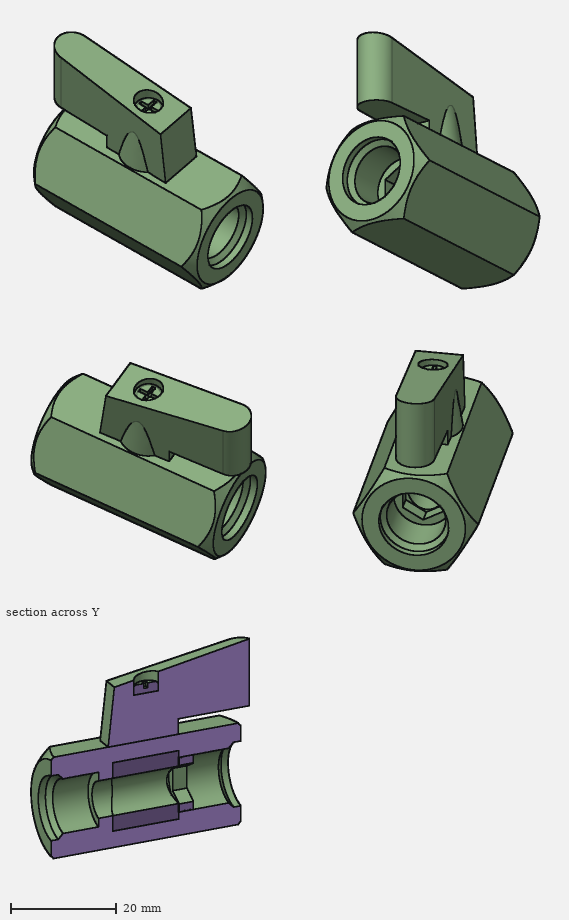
import cadquery as cq
import math

body_length = 40.0
body_flats = 21.0
body_right = 42.0
body_left = body_right - body_length
axis_z = body_flats / 2
body_top = body_flats
end_face_diameter = 20.0
end_cone_length = 2.5

mouth_diameter = 13.5
mouth_depth = 1.5
bore_diameter = 11.42
mouth_cone_length = (mouth_diameter - bore_diameter) / 2

bore_depth = 10.0
passage_diameter = 8.0

pivot_x = (body_left + body_right) / 2
plug_diameter = 14.0
plug_bottom = axis_z - plug_diameter / 2
plug_top = axis_z + plug_diameter / 2

insert_front = body_left + bore_depth
insert_back = pivot_x - plug_diameter / 2
insert_hex_flats = 8.0

handle_length = 30.0
handle_height = 38.0
handle_top_right_x = 28.7
handle_top_right_z = 33.1
grip_bottom = 24.05
foot_left = 15.1
grip_radius = 3.7
handle_end_width = 9.32
hub_diameter = 11.42
hub_height = 10.1
hub_slope = 9.2

screw_diameter = 5.6
screw_top = 32.75
screw_thickness = 2.0
screw_bottom = screw_top - screw_thickness
screw_edge_radius = 0.5
slot_length = 4.0
slot_width = 0.7
slot_depth = 1.0


def rod_along_x(diameter, x_start, x_end):
    """Round bar centred on the bore axis."""
    return (
        cq.Workplane("YZ", origin=(x_start, 0, axis_z))
        .circle(diameter / 2)
        .extrude(x_end - x_start)
    )


def cylinder_on_pivot(diameter, z_bottom, z_top):
    """Upright cylinder centred on the pivot axis."""
    return (
        cq.Workplane("XY", origin=(pivot_x, 0, z_bottom))
        .circle(diameter / 2)
        .extrude(z_top - z_bottom)
    )


def hex_bar(flats, x_start, x_end):
    """Hexagonal bar along the bore axis with corners pointing along Y."""
    corner_diameter = flats / math.cos(math.pi / 6)
    return (
        cq.Workplane("YZ", origin=(x_start, 0, axis_z))
        .polygon(6, corner_diameter)
        .extrude(x_end - x_start)
    )


def end_chamfer_envelope():
    """Round bar with 45 degree ends that trims the hexagon corners."""
    envelope_radius = end_face_diameter / 2 + end_cone_length
    envelope = rod_along_x(2 * envelope_radius, body_left, body_right)
    return envelope.faces("<X or >X").chamfer(end_cone_length)


def bore_mouth():
    """Cylindrical recess and 45 degree cone at the left end."""
    mouth_end = body_left + mouth_depth
    cone_end = mouth_end + mouth_cone_length
    return (
        cq.Workplane("XZ", origin=(0, 0, axis_z))
        .moveTo(body_left, 0)
        .lineTo(body_left, mouth_diameter / 2)
        .lineTo(mouth_end, mouth_diameter / 2)
        .lineTo(cone_end, bore_diameter / 2)
        .lineTo(cone_end, 0)
        .close()
        .revolve(360, (0, 0, 0), (1, 0, 0))
    )


def make_body():
    body = hex_bar(body_flats, body_left, body_right).intersect(end_chamfer_envelope())
    left_mouth = bore_mouth()
    body = body.cut(left_mouth)
    body = body.cut(left_mouth.mirror("YZ", (pivot_x, 0, 0)))
    body = body.cut(rod_along_x(bore_diameter, body_left, pivot_x))
    body = body.cut(rod_along_x(bore_diameter, body_right - bore_depth, body_right))
    body = body.cut(rod_along_x(passage_diameter, pivot_x, body_right))
    return body.cut(cylinder_on_pivot(plug_diameter, plug_bottom, plug_top))


def make_insert():
    ring = rod_along_x(bore_diameter, insert_front, insert_back)
    hex_hole = hex_bar(insert_hex_flats, insert_front, insert_back)
    hex_hole = hex_hole.rotate((0, 0, axis_z), (1, 0, axis_z), 90)
    return ring.cut(hex_hole)


def make_plug():
    plug = cylinder_on_pivot(plug_diameter, plug_bottom, plug_top)
    return plug.cut(rod_along_x(passage_diameter, body_left, body_right))


def handle_plan():
    """Outline seen along Z: rounded grip whose straight sides widen to the right."""
    end_half_width = handle_end_width / 2
    end_dx = handle_length - grip_radius
    reach = math.hypot(end_dx, end_half_width)
    tangent_angle = math.atan2(end_half_width, end_dx) + math.acos(grip_radius / reach)
    tangent_x = grip_radius + grip_radius * math.cos(tangent_angle)
    tangent_y = grip_radius * math.sin(tangent_angle)
    return (
        cq.Workplane("XY", origin=(0, 0, body_top))
        .moveTo(handle_length, -end_half_width)
        .lineTo(handle_length, end_half_width)
        .lineTo(tangent_x, tangent_y)
        .threePointArc((0, 0), (tangent_x, -tangent_y))
        .close()
        .extrude(handle_height - body_top)
    )


def handle_profile():
    """Outline seen along Y: sloping top, sloping end and a raised grip."""
    return (
        cq.Workplane("XZ")
        .moveTo(0, handle_height)
        .lineTo(handle_top_right_x, handle_top_right_z)
        .lineTo(handle_length, body_top)
        .lineTo(foot_left, body_top)
        .lineTo(foot_left, grip_bottom)
        .lineTo(0, grip_bottom)
        .close()
        .extrude(handle_end_width, both=True)
    )


def handle_hub():
    """Conical hub around the pivot, narrowing upward into the handle."""
    return (
        cq.Workplane("XY", origin=(pivot_x, 0, body_top))
        .circle(hub_diameter / 2)
        .extrude(hub_height, taper=hub_slope)
    )


def make_handle():
    handle = handle_plan().intersect(handle_profile()).union(handle_hub())
    return handle.cut(cylinder_on_pivot(screw_diameter, screw_bottom, handle_height))


def make_screw():
    screw = cylinder_on_pivot(screw_diameter, screw_bottom, screw_top)
    screw = screw.faces(">Z").edges().fillet(screw_edge_radius)
    for length, width in ((slot_length, slot_width), (slot_width, slot_length)):
        slot = (
            cq.Workplane("XY", origin=(pivot_x, 0, screw_top))
            .rect(length, width)
            .extrude(-slot_depth)
        )
        screw = screw.cut(slot)
    return screw


body = make_body()
insert = make_insert()
plug = make_plug()
handle = make_handle()
screw = make_screw()

parts = [body, insert, plug, handle, screw]
result = cq.Compound.makeCompound([part.solids().val() for part in parts])